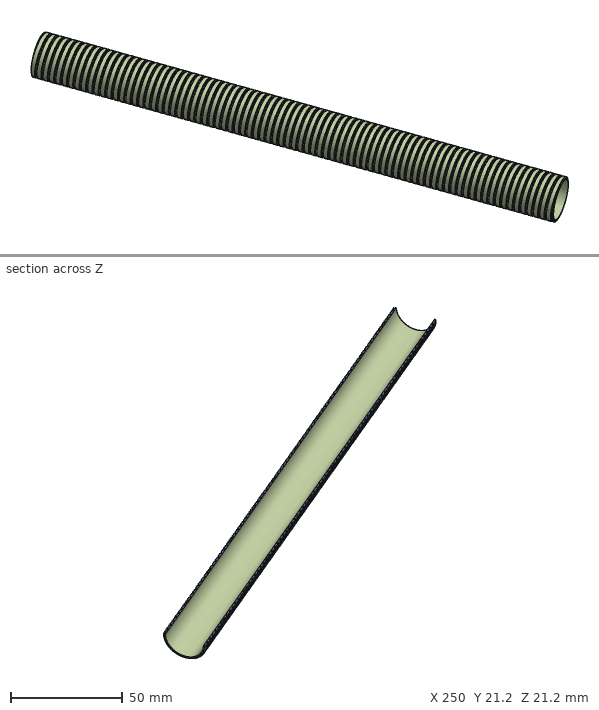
import cadquery as cq
import math

length = 250.0
outer_diameter = 21.2
root_diameter = 20.2
bore_diameter = 18.8

turns = 82
pitch = length / turns
crest_width = 1.92
flank_angle = 30.0
start_angle = 25.0
spare_turns = 2
blank_allowance = 1.2

end_diameter = 20.0

crest_radius = outer_diameter / 2
root_radius = root_diameter / 2
end_radius = end_diameter / 2
bore_radius = bore_diameter / 2
blank_radius = crest_radius + blank_allowance
flank_slope = math.tan(math.radians(flank_angle))


def helix_edge(radius, height):
    """One left-handed turn about Z that starts at the given height."""
    wire = cq.Wire.makeHelix(pitch, pitch, radius, lefthand=True)
    return wire.translate(cq.Vector(0, 0, height)).Edges()[0]


def thread_skin():
    """Helical surface of crests, flanks and roots around X, open at both ends."""
    flank_width = (crest_radius - root_radius) * flank_slope
    half_crest = crest_width / 2
    profile = [
        (crest_radius, -half_crest),
        (crest_radius, half_crest),
        (root_radius, half_crest + flank_width),
        (root_radius, pitch - half_crest - flank_width),
        (crest_radius, pitch - half_crest),
    ]
    edges = [helix_edge(radius, height) for radius, height in profile]
    one_turn = [cq.Face.makeRuledSurface(a, b) for a, b in zip(edges, edges[1:])]
    faces = []
    for turn in range(-spare_turns, turns + spare_turns):
        faces += [face.translate(cq.Vector(0, 0, turn * pitch)) for face in one_turn]
    skin = cq.Shell.makeShell(faces)
    origin = cq.Vector(0, 0, 0)
    along_x = skin.rotate(origin, cq.Vector(0, 1, 0), 90)
    return along_x.rotate(origin, cq.Vector(1, 0, 0), start_angle)


def bevelled_blank():
    """Thick plain tube with both outer rims bevelled."""
    bevel_length = (blank_radius - end_radius) * flank_slope
    return (
        cq.Workplane("XY")
        .polyline(
            [
                (0, bore_radius),
                (0, end_radius),
                (bevel_length, blank_radius),
                (length - bevel_length, blank_radius),
                (length, end_radius),
                (length, bore_radius),
            ]
        )
        .close()
        .revolve(360, (0, 0, 0), (1, 0, 0))
    )


pieces = bevelled_blank().val().split(thread_skin()).Solids()
result = cq.Workplane(min(pieces, key=lambda piece: piece.BoundingBox().ylen))